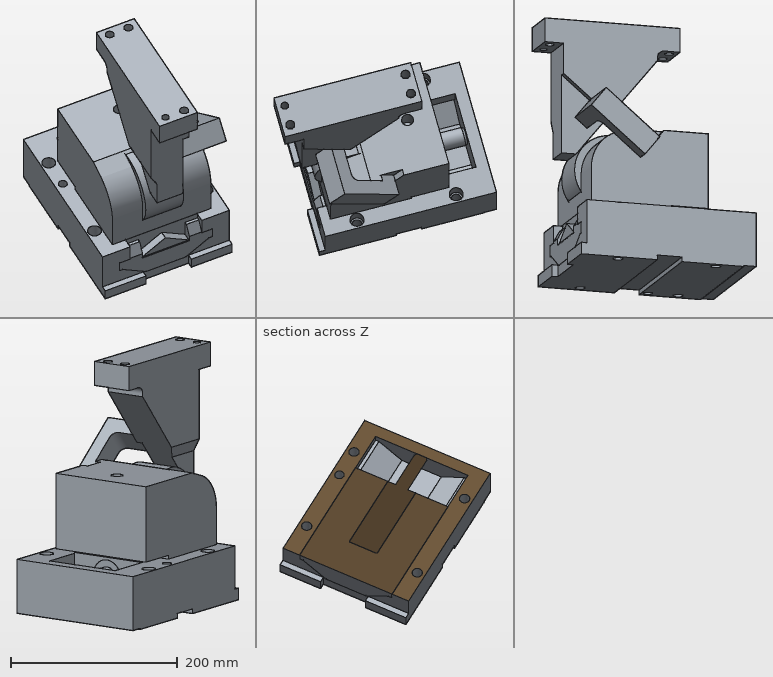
import cadquery as cq
import math


BASE_LENGTH = 212.8
BASE_WIDTH = 170.0
BASE_TOP = 67.5
MID_Y = BASE_WIDTH / 2
FOOT_LENGTH = 7.3
FOOT_HEIGHT = 14.3
FOOT_GAP_WIDTH = 60.5
HEEL_LENGTH = 15.5
HEEL_RELIEF = 1.2
KEYWAY_START = 93.3
KEYWAY_WIDTH = 31.0
KEYWAY_DEPTH = 5.8
BOLT_DIAMETER = 12.0
BOLT_HEAD_DIAMETER = 16.5
BOLT_HEAD_DEPTH = 18.2
BOLT_X = (47.5, 170.5)
HOLE_EDGE_Y = 10.3
DOWEL_X = 85.5
DOWEL_DIAMETER = 10.5

GUIDE_START = 15.5
GUIDE_NECK_WIDTH = 95.8
GUIDE_SHOULDER_WIDTH = 124.0
GUIDE_VEE_WIDTH = 115.2
GUIDE_FLOOR_WIDTH = 53.2
GUIDE_SHOULDER_TOP = 45.5
GUIDE_LEDGE_Z = 32.0
GUIDE_FLOOR_Z = 13.0
VEE_SLOPE = (GUIDE_LEDGE_Z - GUIDE_FLOOR_Z) / ((GUIDE_VEE_WIDTH - GUIDE_FLOOR_WIDTH) / 2)

SLIDE_START = 67.0
SLIDE_TOP = 68.7
SLIDE_SHELF_Z = 60.8
SLIDE_SHELF_END = 205.0
SLIDE_BEVEL_ANGLE = 60.0
PAD_START = 74.2
PAD_END = 100.5
PAD_WIDTH = 81.5
PAD_HEIGHT = 4.5
RIDGE_END = 211.3
RIDGE_WIDTH = 62.5
RIDGE_BASE_Z = 39.5

SPRING_Z = 46.0
SPRING_DIAMETER = 39.2
SPRING_LENGTH = 100.3
ROD_DIAMETER = 22.2
ROD_CHAMFER_LENGTH = 2.7
ROD_CHAMFER_DEPTH = 1.2

BLOCK_START = 54.0
BLOCK_END = 201.2
BLOCK_WIDTH = 132.0
BLOCK_TOP = 165.7
BLOCK_BACK_Y = MID_Y + BLOCK_WIDTH / 2
BLOCK_RELIEF_Z = SLIDE_TOP + PAD_HEIGHT
BLOCK_SLOPE_START = 150.2
NOSE_RADIUS = 48.5
NOSE_CENTER_Z = 113.7
NOSE_CENTER_X = BLOCK_END - NOSE_RADIUS
NOSE_ARC_ANGLE = 67.0
TAPPED_HOLE_X = 87.5
TAPPED_HOLE_DIAMETER = 14.0
TAPPED_HOLE_DEPTH = 30.5

DRIVER_WIDTH = 50.8
DRIVER_TOP = 304.0
DRIVER_BOTTOM = 140.8
FLANGE_START = 76.5
FLANGE_END = 246.5
FLANGE_BOTTOM = 274.5
WEB_START = 105.2
WEB_END = 223.0
WEB_FILLET = 9.0
TAPER_TOP = 189.5
TAPER_BOTTOM = 174.0
TAPER_INSET = 8.2
HOOK_REBATE = 8.0
SCREW_DIAMETER = 10.5
PILOT_DIAMETER = 8.8
SCREW_INSET = 10.0
SCREW_PITCH_Y = 25.0

ROLLER_X = 163.5
ROLLER_Z = 119.0
ROLLER_RADIUS = 46.0

HOOK_ANGLE = 39.5
HOOK_CORNER_X = 120.7
HOOK_CORNER_Z = 152.5
HOOK_LENGTH = 87.5
HOOK_THICKNESS = 29.5
HOOK_BACK_Y = 168.7
HOOK_TIP_Y = 104.3
HOOK_TIP_LENGTH = 19.8
HOOK_FILLET = 9.0
TAB_LENGTH = 20.5
TAB_DEPTH = 7.3
TAB_NOTCH_RISE = 24.3

HOOK_COS = math.cos(math.radians(HOOK_ANGLE))
HOOK_SIN = math.sin(math.radians(HOOK_ANGLE))


def box(x0, x1, y0, y1, z0, z1):
    return cq.Workplane().box(x1 - x0, y1 - y0, z1 - z0, centered=False).translate((x0, y0, z0))


def centered_box(x0, x1, width, z0, z1):
    """Box centred on the mid plane of the unit."""
    return box(x0, x1, MID_Y - width / 2, MID_Y + width / 2, z0, z1)


def upright_hole(x, y, top, depth, diameter):
    return cq.Workplane().center(x, y).circle(diameter / 2).extrude(-depth).translate((0, 0, top))


def side_profile(y):
    """Sketch plane with local axes X and Z; extruding goes toward -Y."""
    return cq.Workplane("XZ", origin=(0, y, 0))


def round_bar(x0, x1, diameter):
    """Bar along X on the spring axis."""
    plane = cq.Workplane("YZ", origin=(x0, MID_Y, SPRING_Z))
    return plane.circle(diameter / 2).extrude(x1 - x0)


def hook_frame():
    """Origin at the hook's low corner, x up along the hook, y across to +Y."""
    plane = cq.Plane(
        origin=(HOOK_CORNER_X, 0, HOOK_CORNER_Z),
        xDir=(HOOK_COS, 0, HOOK_SIN),
        normal=(-HOOK_SIN, 0, HOOK_COS),
    )
    return cq.Workplane(plane)


def guideway(x0, x1, top):
    """T-shaped way with a vee floor, along X."""
    right_half = [
        (GUIDE_FLOOR_WIDTH / 2, GUIDE_FLOOR_Z),
        (GUIDE_VEE_WIDTH / 2, GUIDE_LEDGE_Z),
        (GUIDE_SHOULDER_WIDTH / 2, GUIDE_LEDGE_Z),
        (GUIDE_SHOULDER_WIDTH / 2, GUIDE_SHOULDER_TOP),
        (GUIDE_NECK_WIDTH / 2, GUIDE_SHOULDER_TOP),
        (GUIDE_NECK_WIDTH / 2, top),
    ]
    left_half = [(-y, z) for y, z in reversed(right_half)]
    plane = cq.Workplane("YZ", origin=(x0, MID_Y, 0))
    return plane.polyline(right_half + left_half).close().extrude(x1 - x0)


def spring_envelope():
    return round_bar(SLIDE_START, SLIDE_START + SPRING_LENGTH, SPRING_DIAMETER)


def roller_envelope():
    disc = side_profile(MID_Y + DRIVER_WIDTH / 2).center(ROLLER_X, ROLLER_Z)
    return disc.circle(ROLLER_RADIUS).extrude(DRIVER_WIDTH)


def make_base():
    foot_end = BASE_LENGTH + FOOT_LENGTH
    base = box(0, BASE_LENGTH, 0, BASE_WIDTH, 0, BASE_TOP)
    foot = box(BASE_LENGTH, foot_end, 0, BASE_WIDTH, 0, FOOT_HEIGHT)
    foot = foot.cut(centered_box(BASE_LENGTH, foot_end, FOOT_GAP_WIDTH, 0, FOOT_HEIGHT))
    base = base.union(foot)
    base = base.cut(box(0, HEEL_LENGTH, 0, BASE_WIDTH, 0, HEEL_RELIEF))
    base = base.cut(box(KEYWAY_START, KEYWAY_START + KEYWAY_WIDTH, 0, BASE_WIDTH, 0, KEYWAY_DEPTH))
    base = base.cut(guideway(GUIDE_START, foot_end, BASE_TOP))
    for x in BOLT_X:
        for y in (HOLE_EDGE_Y, BASE_WIDTH - HOLE_EDGE_Y):
            base = base.cut(upright_hole(x, y, BASE_TOP, BASE_TOP, BOLT_DIAMETER))
            base = base.cut(upright_hole(x, y, BASE_TOP, BOLT_HEAD_DEPTH, BOLT_HEAD_DIAMETER))
    return base.cut(upright_hole(DOWEL_X, HOLE_EDGE_Y, BASE_TOP, BASE_TOP, DOWEL_DIAMETER))


def make_slide():
    slide = guideway(SLIDE_START, BASE_LENGTH, SLIDE_TOP)
    pad = centered_box(PAD_START, PAD_END, PAD_WIDTH, SLIDE_TOP, SLIDE_TOP + PAD_HEIGHT)
    slide = slide.union(pad)

    slide = slide.cut(centered_box(BLOCK_END, BASE_LENGTH, GUIDE_NECK_WIDTH, SLIDE_SHELF_Z, SLIDE_TOP))
    bevel_drop = (BASE_LENGTH - SLIDE_SHELF_END) * math.tan(math.radians(SLIDE_BEVEL_ANGLE))
    bevel = side_profile(BASE_WIDTH).polyline([
        (SLIDE_SHELF_END, SLIDE_SHELF_Z),
        (BASE_LENGTH, SLIDE_SHELF_Z),
        (BASE_LENGTH, SLIDE_SHELF_Z - bevel_drop),
    ]).close().extrude(BASE_WIDTH)
    slide = slide.cut(bevel)

    slide = slide.cut(centered_box(BLOCK_END, BASE_LENGTH, RIDGE_WIDTH, RIDGE_BASE_Z, SLIDE_SHELF_Z))
    ridge = cq.Workplane("YZ", origin=(BLOCK_END, MID_Y, RIDGE_BASE_Z)).polyline([
        (-RIDGE_WIDTH / 2, 0),
        (RIDGE_WIDTH / 2, 0),
        (0, VEE_SLOPE * RIDGE_WIDTH / 2),
    ]).close().extrude(RIDGE_END - BLOCK_END)
    return slide.union(ridge).cut(spring_envelope())


def make_gas_spring():
    rod = round_bar(GUIDE_START, SLIDE_START, ROD_DIAMETER)
    rod = rod.faces("<X").chamfer(ROD_CHAMFER_LENGTH, ROD_CHAMFER_DEPTH)
    return spring_envelope().union(rod)


def hook_tab_notch():
    """Slanted notch in the block's back edge, open at the top, that takes the hook's tab."""
    opening = hook_frame().workplane(offset=TAB_NOTCH_RISE).center(0, BLOCK_BACK_Y - TAB_DEPTH)
    opening = opening.rect(TAB_LENGTH, TAB_DEPTH, centered=False)
    return opening.extrude(-TAB_NOTCH_RISE - HOOK_THICKNESS)


def make_block():
    arc_angle = math.radians(NOSE_ARC_ANGLE)

    def nose_point(angle):
        return (NOSE_CENTER_X + NOSE_RADIUS * math.cos(angle),
                NOSE_CENTER_Z + NOSE_RADIUS * math.sin(angle))

    block = (
        side_profile(BLOCK_BACK_Y)
        .moveTo(BLOCK_START, BLOCK_RELIEF_Z)
        .lineTo(BLOCK_START, BLOCK_TOP)
        .lineTo(BLOCK_SLOPE_START, BLOCK_TOP)
        .lineTo(*nose_point(arc_angle))
        .threePointArc(nose_point(arc_angle / 2), nose_point(0))
        .lineTo(BLOCK_END, SLIDE_TOP)
        .lineTo(PAD_END, SLIDE_TOP)
        .lineTo(PAD_END, BLOCK_RELIEF_Z)
        .close()
        .extrude(BLOCK_WIDTH)
    )
    block = block.cut(roller_envelope()).cut(hook_tab_notch())
    return block.cut(upright_hole(TAPPED_HOLE_X, MID_Y, BLOCK_TOP, TAPPED_HOLE_DEPTH, TAPPED_HOLE_DIAMETER))


def make_hook():
    tip_x = HOOK_LENGTH - HOOK_TIP_LENGTH
    outline = [
        (0, BLOCK_BACK_Y - TAB_DEPTH),
        (TAB_LENGTH, BLOCK_BACK_Y - TAB_DEPTH),
        (TAB_LENGTH, BLOCK_BACK_Y),
        (tip_x - HOOK_FILLET, BLOCK_BACK_Y),
    ]
    return (
        hook_frame()
        .polyline(outline)
        .radiusArc((tip_x, BLOCK_BACK_Y - HOOK_FILLET), HOOK_FILLET)
        .lineTo(tip_x, HOOK_TIP_Y)
        .lineTo(HOOK_LENGTH, HOOK_TIP_Y)
        .lineTo(HOOK_LENGTH, HOOK_BACK_Y)
        .lineTo(0, HOOK_BACK_Y)
        .close()
        .extrude(-HOOK_THICKNESS)
    )


CONTACT_X = ROLLER_X + ROLLER_RADIUS * HOOK_COS
CONTACT_Z = ROLLER_Z + ROLLER_RADIUS * HOOK_SIN


def cam_face_z(x):
    return CONTACT_Z - (x - CONTACT_X) * HOOK_COS / HOOK_SIN


def cam_face_x(z):
    return CONTACT_X - (z - CONTACT_Z) * HOOK_SIN / HOOK_COS


def make_driver():
    front_y = MID_Y - DRIVER_WIDTH / 2
    back_y = MID_Y + DRIVER_WIDTH / 2
    fillet_sag = WEB_FILLET * math.sqrt(0.5)
    fillet_x = WEB_START - WEB_FILLET
    fillet_z = FLANGE_BOTTOM - WEB_FILLET
    driver = (
        side_profile(back_y)
        .moveTo(FLANGE_START, DRIVER_TOP)
        .lineTo(FLANGE_END, DRIVER_TOP)
        .lineTo(FLANGE_END, FLANGE_BOTTOM)
        .lineTo(WEB_END, FLANGE_BOTTOM)
        .lineTo(WEB_END, DRIVER_BOTTOM)
        .lineTo(cam_face_x(DRIVER_BOTTOM), DRIVER_BOTTOM)
        .lineTo(WEB_START, cam_face_z(WEB_START))
        .lineTo(WEB_START, fillet_z)
        .threePointArc((fillet_x + fillet_sag, fillet_z + fillet_sag), (fillet_x, FLANGE_BOTTOM))
        .lineTo(FLANGE_START, FLANGE_BOTTOM)
        .close()
        .extrude(DRIVER_WIDTH)
    )

    taper = cq.Workplane("YZ").polyline([
        (front_y, TAPER_TOP),
        (front_y + TAPER_INSET, TAPER_BOTTOM),
        (front_y + TAPER_INSET, DRIVER_BOTTOM),
        (front_y, DRIVER_BOTTOM),
    ]).close().extrude(WEB_END)
    driver = driver.cut(taper)

    rebate = hook_frame().center(0, back_y - HOOK_REBATE).rect(FLANGE_END, HOOK_REBATE, centered=False)
    driver = driver.cut(rebate.extrude(-DRIVER_TOP))

    flange_height = DRIVER_TOP - FLANGE_BOTTOM
    near_y = MID_Y - SCREW_PITCH_Y / 2
    far_y = MID_Y + SCREW_PITCH_Y / 2
    left_x = FLANGE_START + SCREW_INSET
    right_x = FLANGE_END - SCREW_INSET
    for x, y in ((left_x, near_y), (left_x, far_y), (right_x, far_y)):
        driver = driver.cut(upright_hole(x, y, DRIVER_TOP, flange_height, SCREW_DIAMETER))
    return driver.cut(upright_hole(right_x, near_y, DRIVER_TOP, flange_height, PILOT_DIAMETER))


base = make_base()
slide = make_slide()
gas_spring = make_gas_spring()
block = make_block()
roller = roller_envelope()
hook = make_hook()
driver = make_driver()

result = cq.Compound.makeCompound([
    base.val(),
    slide.val(),
    gas_spring.val(),
    block.val(),
    roller.val(),
    hook.val(),
    driver.val(),
])